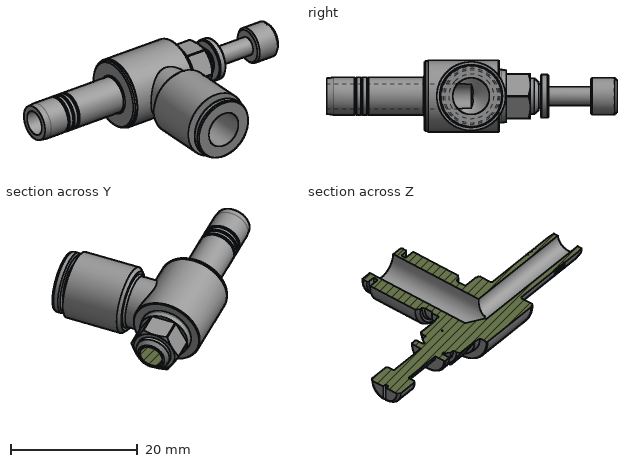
import cadquery as cq
import math


total_length = 46.0
knob_top = 23.15
knob_bottom = 18.9
washer_top = 12.25
washer_bottom = 11.0
dome_top = 10.65
dome_shoulder = 10.0
hex_top = 9.4
hex_bottom = 5.55
seat_shoulder = 4.75
body_top = 4.4
body_lip = -6.8
body_bottom = -7.4
tube_end = knob_top - total_length

knob_radius = 2.95
knob_top_chamfer = 0.45
knob_bottom_chamfer = 0.28
knob_slot_width = 0.55
knob_slot_depth = 0.6
stem_radius = 1.5

washer_radius = 3.45
washer_chamfer = 0.2
gland_neck_radius = 1.95
dome_top_radius = 2.25
dome_radius = 2.85
hex_across_flats = 7.1
hex_corner_radius = 4.05
hex_top_radius = 3.5
hex_chamfer_angle = 30.0
seat_radius = 4.25
seat_top_radius = 4.1

body_radius = 5.7
body_top_chamfer = 0.15
body_lip_radius = 5.55
body_bottom_chamfer = 0.25

tube_radius = 3.0
tube_root_flare = 0.2
tube_tip_radius = 2.85
tube_tip_length = 1.05
tube_groove_width = 0.35
tube_groove_depth = 0.2
tube_groove_count = 3
tube_groove_pitch = 0.95
first_groove = -16.35

branch_end = 19.4
neck_radius = 4.2
neck_flare_start = 7.18
neck_flare = 0.25
sleeve_start = 7.6
sleeve_end = 17.35
sleeve_radius = 5.45
sleeve_chamfer = 0.55
collar_radius = 3.55
flange_start = 18.12
flange_radius = 4.95
flange_chamfer = 0.28
flange_end_drop = 0.15

tube_bore_radius = 2.0
branch_bore_radius = 2.9
drill_half_angle = 59.0


def revolve_main(points):
    """Turn a (radius, station) outline about the main Y axis."""
    return cq.Workplane("XY").polyline(points).close().revolve(360, (0, 0, 0), (0, 1, 0))


def revolve_branch(points):
    """Turn a (station, radius) outline about the branch X axis."""
    return cq.Workplane("XY").polyline(points).close().revolve(360, (0, 0, 0), (1, 0, 0))


def drill_point_length(radius):
    return radius / math.tan(math.radians(drill_half_angle))


def make_knob():
    """Chamfered knob on its stem, slotted across the top for a screwdriver."""
    knob = revolve_main([
        (0, knob_top),
        (knob_radius - knob_top_chamfer, knob_top),
        (knob_radius, knob_top - knob_top_chamfer),
        (knob_radius, knob_bottom + knob_bottom_chamfer),
        (knob_radius - knob_bottom_chamfer, knob_bottom),
        (stem_radius, knob_bottom),
        (stem_radius, washer_bottom),
        (0, washer_bottom),
    ])
    slot = cq.Workplane("XY").box(knob_slot_width, 2 * knob_slot_depth, 2 * knob_radius)
    return knob.cut(slot.translate((0, knob_top, 0)))


def make_gland():
    """Washer, short neck and dome standing on the hexagon."""
    return revolve_main([
        (0, washer_top),
        (washer_radius - washer_chamfer, washer_top),
        (washer_radius, washer_top - washer_chamfer),
        (washer_radius, washer_bottom + washer_chamfer),
        (washer_radius - washer_chamfer, washer_bottom),
        (gland_neck_radius, washer_bottom),
        (gland_neck_radius, dome_top),
        (dome_top_radius, dome_top),
        (dome_radius, dome_shoulder),
        (dome_radius, hex_bottom),
        (0, hex_bottom),
    ])


def make_hexagon():
    """Hexagon with flats facing up and down and turned corners, chamfered at the top."""
    sharp_corner_radius = hex_across_flats / 2 / math.cos(math.pi / 6)
    height = hex_top - seat_shoulder
    prism = (
        cq.Workplane("XZ", origin=(0, hex_top, 0))
        .polygon(6, 2 * sharp_corner_radius)
        .extrude(height)
    )
    chamfer_drop = (hex_corner_radius - hex_top_radius) * math.tan(math.radians(hex_chamfer_angle))
    envelope = revolve_main([
        (0, hex_top),
        (hex_top_radius, hex_top),
        (hex_corner_radius, hex_top - chamfer_drop),
        (hex_corner_radius, seat_shoulder),
        (0, seat_shoulder),
    ])
    return prism.intersect(envelope)


def make_body():
    """Hexagon seat, main cylinder with a stepped lower rim, and the plug-in tube."""
    return revolve_main([
        (0, hex_bottom),
        (seat_top_radius, hex_bottom),
        (seat_radius, seat_shoulder),
        (seat_radius, body_top),
        (body_radius - body_top_chamfer, body_top),
        (body_radius, body_top - body_top_chamfer),
        (body_radius, body_lip),
        (body_lip_radius, body_lip),
        (body_lip_radius, body_bottom + body_bottom_chamfer),
        (body_lip_radius - body_bottom_chamfer, body_bottom),
        (tube_radius + tube_root_flare, body_bottom),
        (tube_radius, body_bottom - tube_root_flare),
        (tube_radius, tube_end + tube_tip_length),
        (tube_tip_radius, tube_end),
        (0, tube_end),
    ])


def make_tube_groove(station):
    """Ring of triangular section that cuts one V groove around the tube."""
    return revolve_main([
        (tube_radius, station + tube_groove_width / 2),
        (tube_radius - tube_groove_depth, station),
        (tube_radius, station - tube_groove_width / 2),
    ])


def make_branch():
    """Neck flaring into the sleeve, then the collar and the release flange."""
    return revolve_branch([
        (0, 0),
        (0, neck_radius),
        (neck_flare_start, neck_radius),
        (sleeve_start, neck_radius + neck_flare),
        (sleeve_start, sleeve_radius - sleeve_chamfer),
        (sleeve_start + sleeve_chamfer, sleeve_radius),
        (sleeve_end, sleeve_radius),
        (sleeve_end, collar_radius),
        (flange_start, collar_radius),
        (flange_start, flange_radius - flange_chamfer),
        (flange_start + flange_chamfer, flange_radius),
        (branch_end - flange_chamfer, flange_radius),
        (branch_end, flange_radius - flange_end_drop),
        (branch_end, 0),
    ])


def make_tube_bore():
    """Passage up the tube; its drill point starts at the branch axis."""
    return revolve_main([
        (0, tube_end),
        (tube_bore_radius, tube_end),
        (tube_bore_radius, 0),
        (0, drill_point_length(tube_bore_radius)),
    ])


def make_branch_bore():
    """Passage along the branch; its drill point starts at the main axis."""
    return revolve_branch([
        (branch_end, 0),
        (branch_end, branch_bore_radius),
        (0, branch_bore_radius),
        (-drill_point_length(branch_bore_radius), 0),
    ])


result = make_body()
for addition in (make_knob(), make_gland(), make_hexagon(), make_branch()):
    result = result.union(addition)

for groove_index in range(tube_groove_count):
    result = result.cut(make_tube_groove(first_groove - groove_index * tube_groove_pitch))

result = result.cut(make_tube_bore()).cut(make_branch_bore())